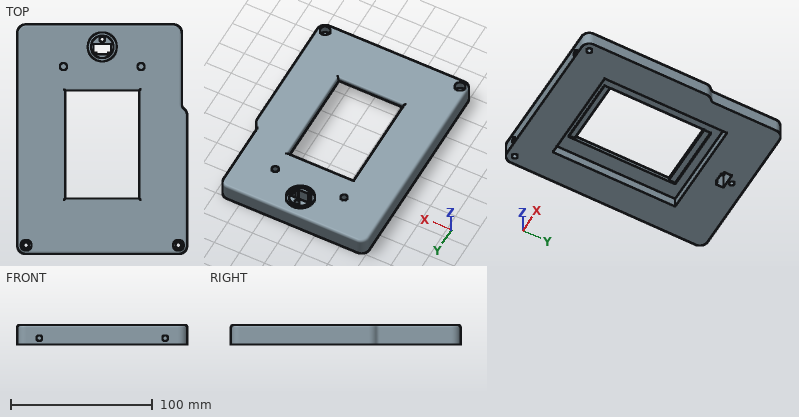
import cadquery as cq
import math

LENGTH_X = 120.4
LENGTH_Y = 162.56
HEIGHT = 13.97
CORNER_RADIUS = 6.35
TOP_EDGE_RADIUS = 2.03
CENTER_X = LENGTH_X / 2

STEP_INSET = 3.81
STEP_START_Y = 97.8
STEP_CONCAVE_RADIUS = 3.05
STEP_SLOPE = math.radians(45)

WINDOW_X = 52.07
WINDOW_Y = 76.2
WINDOW_CENTER_Y = 77.5
WINDOW_RIM_RADIUS = 1.27
WINDOW_PLATE_THICKNESS = 5.08
POCKET_MARGIN = 11.43

END_PLATE_THICKNESS = 3.56
END_RELIEF_LENGTH = 5.08

CONNECTOR_CENTER_Y = 146.55
GROOVE_DIAMETER = 20.57
ISLAND_DIAMETER = 15.9
GROOVE_DEPTH = 2.54
CONNECTOR_X = 12.3
CONNECTOR_TOP = 2.0
CONNECTOR_BOTTOM = -4.0
CONNECTOR_KEY_X = 7.9
CONNECTOR_KEY_DEPTH = 1.2
INDICATOR_DIAMETER = 3.76
INDICATOR_OFFSET = 5.33

TOP_HOLE_DIAMETER = 5.08
TOP_HOLE_SPACING = 54.86
TOP_HOLE_Y = 132.6
TOP_HOLE_DEPTH = 6.35

SCREW_BORE_DIAMETER = 7.62
SCREW_BORE_DEPTH = 6.35
SCREW_HOLE_DIAMETER = 4.06

FRONT_HOLE_DIAMETER = 4.06
FRONT_HOLE_SPACING = 88.9
FRONT_HOLE_Z = 4.57
FRONT_HOLE_DEPTH = 10.16


def box_between(x_min, x_max, y_min, y_max, z_min, z_max):
    """Axis-aligned box given by its limits."""
    size = (x_max - x_min, y_max - y_min, z_max - z_min)
    return cq.Workplane("XY").box(*size, centered=False).translate((x_min, y_min, z_min))


def vertical_cylinder(diameter, x, y, z_min, z_max):
    """Upright cylinder between two heights."""
    return cq.Workplane("XY", origin=(x, y, z_min)).circle(diameter / 2).extrude(z_max - z_min)


def make_body():
    """Solid slab with rounded corners, a stepped right side and a rounded top edge."""
    upper_right_x = LENGTH_X - STEP_INSET
    arc_inset = 1 - math.cos(STEP_SLOPE)
    arc_rise = math.sin(STEP_SLOPE)
    flank_start_x = LENGTH_X - CORNER_RADIUS * arc_inset
    flank_start_y = STEP_START_Y + CORNER_RADIUS * arc_rise
    flank_end_x = upper_right_x + STEP_CONCAVE_RADIUS * arc_inset
    flank_end_y = flank_start_y + (flank_start_x - flank_end_x) / math.tan(STEP_SLOPE)
    step_end_y = flank_end_y + STEP_CONCAVE_RADIUS * arc_rise
    body = (
        cq.Workplane("XY")
        .moveTo(CORNER_RADIUS, 0)
        .lineTo(LENGTH_X - CORNER_RADIUS, 0)
        .tangentArcPoint((LENGTH_X, CORNER_RADIUS), relative=False)
        .lineTo(LENGTH_X, STEP_START_Y)
        .tangentArcPoint((flank_start_x, flank_start_y), relative=False)
        .lineTo(flank_end_x, flank_end_y)
        .tangentArcPoint((upper_right_x, step_end_y), relative=False)
        .lineTo(upper_right_x, LENGTH_Y - CORNER_RADIUS)
        .tangentArcPoint((upper_right_x - CORNER_RADIUS, LENGTH_Y), relative=False)
        .lineTo(CORNER_RADIUS, LENGTH_Y)
        .tangentArcPoint((0, LENGTH_Y - CORNER_RADIUS), relative=False)
        .lineTo(0, CORNER_RADIUS)
        .tangentArcPoint((CORNER_RADIUS, 0), relative=False)
        .close()
        .extrude(HEIGHT)
    )
    return body.faces(">Z").edges().fillet(TOP_EDGE_RADIUS)


def window_block(margin_x, margin_y, height):
    """Block rising from the underside, wider than the window by a margin on each side."""
    base = cq.Workplane("XY", origin=(CENTER_X, WINDOW_CENTER_Y, 0))
    return base.rect(WINDOW_X + 2 * margin_x, WINDOW_Y + 2 * margin_y).extrude(height)


def cut_window(body):
    """Cut the window, round its top rim, then hollow out the underside around it."""
    body = body.cut(window_block(0, 0, HEIGHT))
    body = body.faces(">Z").wires(cq.selectors.AreaNthSelector(0)).edges().fillet(WINDOW_RIM_RADIUS)
    body = body.cut(window_block(POCKET_MARGIN, POCKET_MARGIN, HEIGHT - WINDOW_PLATE_THICKNESS))
    return body.cut(window_block(0, END_RELIEF_LENGTH, HEIGHT - END_PLATE_THICKNESS))


def make_connector_recess():
    """Ring groove, with the keyed opening and the round hole through it."""
    x, y = CENTER_X, CONNECTOR_CENTER_Y
    floor_z = HEIGHT - GROOVE_DEPTH
    groove = vertical_cylinder(GROOVE_DIAMETER, x, y, floor_z, HEIGHT)
    island = vertical_cylinder(ISLAND_DIAMETER, x, y, floor_z, HEIGHT)
    half_width = CONNECTOR_X / 2
    half_key = CONNECTOR_KEY_X / 2
    bottom = y + CONNECTOR_BOTTOM
    opening = box_between(x - half_width, x + half_width, bottom, y + CONNECTOR_TOP, 0, HEIGHT)
    key = box_between(x - half_key, x + half_key, bottom - CONNECTOR_KEY_DEPTH, bottom, 0, HEIGHT)
    indicator = vertical_cylinder(INDICATOR_DIAMETER, x, y + INDICATOR_OFFSET, 0, HEIGHT)
    return groove.cut(island).union(opening).union(key).union(indicator)


def make_top_hole(x):
    """Blind hole sunk from the top face."""
    return vertical_cylinder(TOP_HOLE_DIAMETER, x, TOP_HOLE_Y, HEIGHT - TOP_HOLE_DEPTH, HEIGHT)


def make_screw_hole(x):
    """Stepped screw hole with a 45 degree seat, as a revolved half profile."""
    bore_radius = SCREW_BORE_DIAMETER / 2
    hole_radius = SCREW_HOLE_DIAMETER / 2
    seat_top_z = HEIGHT - SCREW_BORE_DEPTH
    seat_bottom_z = seat_top_z - (bore_radius - hole_radius)
    profile = [
        (0, 0),
        (hole_radius, 0),
        (hole_radius, seat_bottom_z),
        (bore_radius, seat_top_z),
        (bore_radius, HEIGHT),
        (0, HEIGHT),
    ]
    hole = cq.Workplane("XZ").polyline(profile).close().revolve(360, (0, 0, 0), (0, 1, 0))
    return hole.translate((x, CORNER_RADIUS, 0))


def make_front_hole(x):
    """Blind hole drilled into the front face along +Y."""
    front = cq.Workplane("XZ", origin=(x, 0, FRONT_HOLE_Z))
    return front.circle(FRONT_HOLE_DIAMETER / 2).extrude(-FRONT_HOLE_DEPTH)


result = cut_window(make_body()).cut(make_connector_recess())
for side in (-1, 1):
    result = result.cut(make_top_hole(CENTER_X + side * TOP_HOLE_SPACING / 2))
    result = result.cut(make_screw_hole(CENTER_X + side * (CENTER_X - CORNER_RADIUS)))
    result = result.cut(make_front_hole(CENTER_X + side * FRONT_HOLE_SPACING / 2))